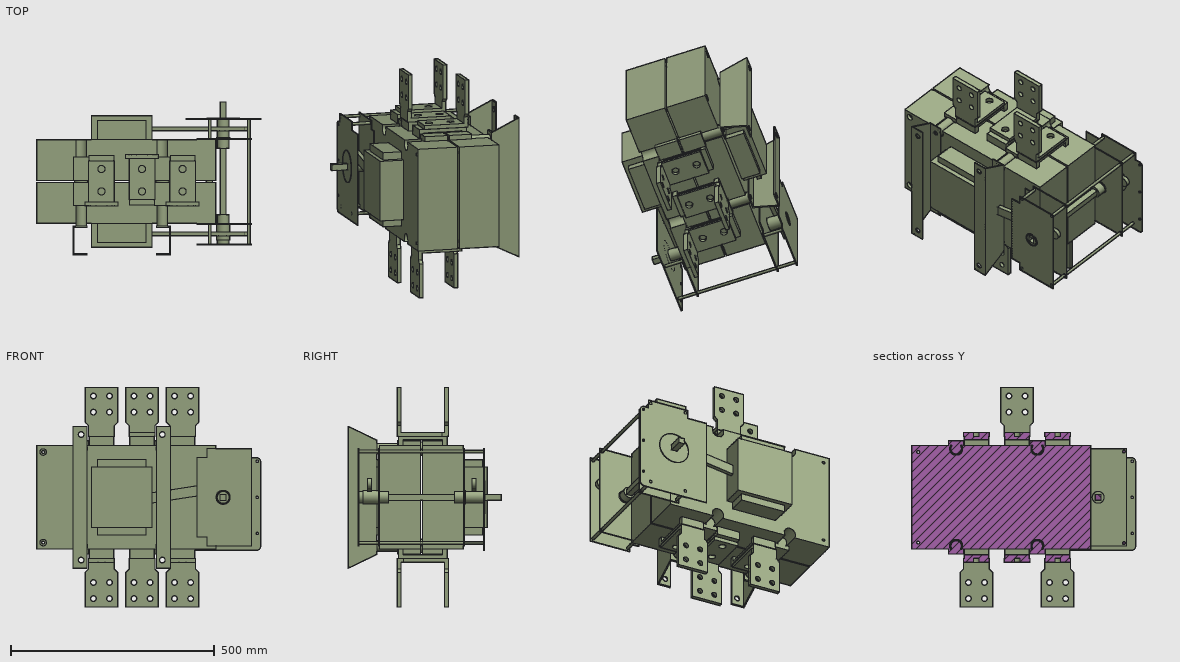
import cadquery as cq
import math


HOUSING_LENGTH = 441.0
HOUSING_HEIGHT = 255.5
HOUSING_FACE_Y = 103.0
GAP = 4.5
BOLT_INSET = 16.0
BOLT_Z = 111.5
BOLT_HEAD_DIAMETER = 16.0
BOLT_HEAD_DEPTH = 8.0
BOLT_HOLE_DIAMETER = 6.5

POLE_PITCH = 100.0
FIRST_POLE_X = 159.5
POLE_XS = [FIRST_POLE_X + i * POLE_PITCH for i in range(3)]
COIL_X = FIRST_POLE_X + POLE_PITCH / 2
POST_XS = [COIL_X - POLE_PITCH, COIL_X + POLE_PITCH]

BOX_SIDE = 149.5
BOX_DEPTH = 59.0
CORE_WIDTH = 119.0
CORE_HEIGHT = 186.0
CORE_DEPTH = 47.5

POST_DIAMETER = 26.5
POST_Z = 119.5
GROOVE_DIAMETER = 31.0
COLLAR_DIAMETER = 33.0
BLOCK_WIDTH = 38.0
BLOCK_DEPTH = 119.5
BLOCK_REAR_Y = 60.5
BLOCK_TOP_Z = 139.5

TERMINAL_Y = 3.5
TERMINAL_DEPTH = 126.5
FOOT_LENGTH = 111.0
PAD_WIDTH = 60.5
PAD_DEPTH = 121.0
PAD_TOP_Z = 150.0
PAD_THICKNESS = 9.0
PAD_LEG_DEPTH = 12.0
BAR_THICKNESS = 10.0
STEM_WIDTH = 64.0
FLAG_WIDTH = 80.5
FLAG_START_Z = 185.0
FLAG_END_Z = 270.0
FLAG_HOLE_DIAMETER = 13.0
FLAG_HOLE_X = 20.0
FLAG_HOLE_ZS = [209.5, 249.5]
FOOT_HOLE_DIAMETER = 17.5
FOOT_HOLE_Y = 27.5

CHANNEL_REAR_Y = -110.0
CHANNEL_DEPTH = 70.5
CHANNEL_FLANGE = 35.5
CHANNEL_SHEET = 3.5
CHANNEL_OUTER_X = 120.0
CHANNEL_REAR_Z = 140.5
CHANNEL_FRONT_Z = 175.0
CHANNEL_HOLE_DIAMETER = 13.0
CHANNEL_HOLE_Z = 154.5
POST_HOLE_DIAMETER = 11.0

PLATE_LEFT_X = 394.5
PLATE_RIGHT_X = 529.0
PLATE_NOTCH_X = 419.5
PLATE_HALF_HEIGHT = 119.5
PLATE_NOTCH_Z = 97.5
PLATE_SHEET = 3.0
FRONT_PLATE_Y = -156.0
REAR_PLATE_Y = 153.0
REAR_PLATE_SHEET = 2.0
BACK_LEFT_X = 368.0
BACK_RIGHT_X = 551.5
BACK_BOTTOM_Z = -130.5
BACK_CORNER_RADIUS = 10.5
BACK_HOLE_DIAMETER = 5.5
BACK_HOLE_X = 542.5
BACK_HOLE_PITCH = 89.0
DISC_DIAMETER = 80.0
DISC_THICKNESS = 1.5
ROD_DIAMETER = 7.0
ROD_Z = 112.5
SHORT_ROD_X = 426.0
LONG_ROD_X = 522.0

SHAFT_X = 459.0
SHAFT_SIDE = 15.0
SHAFT_REAR_Y = 196.5
HUB_DIAMETER = 29.0
HUB_INNER_Y = 81.5
COLLAR_END_Y = -144.0
HUB_COLLAR_DIAMETER = 33.0
REAR_COLLAR_THICKNESS = 2.0
FRONT_HOLE_DIAMETER = 35.0
SOCKET_DEPTH = 27.5
ARM_WIDTH = 25.0
ARM_THICKNESS = 10.0
ARM_END_X = 513.5
ARM_END_Z = 34.0
ARM_ANGLE = math.radians(8.8)
ARM_FRONT_Y = -133.5
ARM_REAR_Y = 124.5

HALF_HEIGHT = HOUSING_HEIGHT / 2
HALF_GAP = GAP / 2


def block(x0, x1, y0, y1, z0, z1):
    """Rectangular block between two corners."""
    return cq.Workplane("XY").box(x1 - x0, y1 - y0, z1 - z0, centered=False).translate((x0, y0, z0))


def y_profile(y0):
    """Workplane for outlines in X and Z; a negative extrusion depth goes toward +Y."""
    return cq.Workplane("XZ", origin=(0, y0, 0))


def y_cylinder(x, z, diameter, y0, y1):
    """Cylinder along Y."""
    return y_profile(y0).center(x, z).circle(diameter / 2).extrude(y0 - y1)


def centred_block(x, width, z_half, y0, y1):
    """Block centred on an X position and on Z = 0."""
    return block(x - width / 2, x + width / 2, y0, y1, -z_half, z_half)


def make_housing():
    """Two housing halves with drive boxes, bolt holes, spacers and open grooves for the posts."""
    front = block(0, HOUSING_LENGTH, -HOUSING_FACE_Y, -HALF_GAP, -HALF_HEIGHT, HALF_HEIGHT)
    housing = front.union(front.mirror("XZ"))
    box = centred_block(COIL_X, BOX_SIDE, BOX_SIDE / 2, HOUSING_FACE_Y, HOUSING_FACE_Y + BOX_DEPTH)
    core = centred_block(COIL_X, CORE_WIDTH, CORE_HEIGHT / 2, HOUSING_FACE_Y, HOUSING_FACE_Y + CORE_DEPTH)
    drive = box.union(core)
    housing = housing.union(drive).union(drive.mirror("XZ"))
    for z in (-BOLT_Z, BOLT_Z):
        spacer = y_cylinder(HOUSING_LENGTH - BOLT_INSET, z, BOLT_HEAD_DIAMETER, -HALF_GAP, HALF_GAP)
        hole = y_cylinder(BOLT_INSET, z, BOLT_HOLE_DIAMETER, -HOUSING_FACE_Y, HOUSING_FACE_Y)
        recess = y_cylinder(
            BOLT_INSET, z, BOLT_HEAD_DIAMETER, -HOUSING_FACE_Y, BOLT_HEAD_DEPTH - HOUSING_FACE_Y
        )
        housing = housing.union(spacer).cut(hole).cut(recess)
    for x in POST_XS:
        for z in (-POST_Z, POST_Z):
            groove = y_cylinder(x, z, GROOVE_DIAMETER, -HOUSING_FACE_Y, HOUSING_FACE_Y)
            housing = housing.cut(groove)
    return housing


def make_post(x):
    """Upper post with its collar in the gap and its split block."""
    rear_y = BLOCK_REAR_Y
    holder = block(
        x - BLOCK_WIDTH / 2, x + BLOCK_WIDTH / 2, rear_y - BLOCK_DEPTH, rear_y, HALF_HEIGHT, BLOCK_TOP_Z
    )
    split = block(0, HOUSING_LENGTH, -HALF_GAP, HALF_GAP, HALF_HEIGHT, BLOCK_TOP_Z)
    post = y_cylinder(x, POST_Z, POST_DIAMETER, CHANNEL_REAR_Y, rear_y)
    collar = y_cylinder(x, POST_Z, COLLAR_DIAMETER, -HALF_GAP, HALF_GAP)
    return holder.cut(split).union(post).union(collar)


def make_terminal():
    """Upper terminal on its two-legged pad, with its flag at the front, centred on X = 0."""
    front_y = -TERMINAL_DEPTH / 2
    foot_top = PAD_TOP_Z + BAR_THICKNESS
    stem = STEM_WIDTH / 2
    flag = FLAG_WIDTH / 2
    stem_end = FLAG_START_Z - (flag - stem)
    pad = block(-PAD_WIDTH / 2, PAD_WIDTH / 2, -PAD_DEPTH / 2, PAD_DEPTH / 2, HALF_HEIGHT, PAD_TOP_Z)
    inner_y = PAD_DEPTH / 2 - PAD_LEG_DEPTH
    under = block(-PAD_WIDTH / 2, PAD_WIDTH / 2, -inner_y, inner_y, HALF_HEIGHT, PAD_TOP_Z - PAD_THICKNESS)
    foot = block(-stem, stem, front_y, front_y + FOOT_LENGTH, PAD_TOP_Z, foot_top)
    foot_holes = (
        cq.Workplane("XY", origin=(0, 0, PAD_TOP_Z))
        .pushPoints([(0, -FOOT_HOLE_Y), (0, FOOT_HOLE_Y)])
        .circle(FOOT_HOLE_DIAMETER / 2)
        .extrude(BAR_THICKNESS)
    )
    outline = [
        (-stem, PAD_TOP_Z),
        (stem, PAD_TOP_Z),
        (stem, stem_end),
        (flag, FLAG_START_Z),
        (flag, FLAG_END_Z),
        (-flag, FLAG_END_Z),
        (-flag, FLAG_START_Z),
        (-stem, stem_end),
    ]
    blade = y_profile(front_y).polyline(outline).close().extrude(-BAR_THICKNESS)
    terminal = pad.cut(under).union(foot.cut(foot_holes)).union(blade)
    for x in (-FLAG_HOLE_X, FLAG_HOLE_X):
        for z in FLAG_HOLE_ZS:
            terminal = terminal.cut(y_cylinder(x, z, FLAG_HOLE_DIAMETER, front_y, front_y + BAR_THICKNESS))
    return terminal


def make_channel():
    """Left mounting channel, its sloped web on the left and its flanges pointing right."""
    web_x = COIL_X - CHANNEL_OUTER_X
    flange_x = web_x + CHANNEL_FLANGE
    front_y = CHANNEL_REAR_Y - CHANNEL_DEPTH
    side = [
        (CHANNEL_REAR_Y, -CHANNEL_REAR_Z),
        (CHANNEL_REAR_Y, CHANNEL_REAR_Z),
        (front_y, CHANNEL_FRONT_Z),
        (front_y, -CHANNEL_FRONT_Z),
    ]
    solid = cq.Workplane("YZ", origin=(web_x, 0, 0)).polyline(side).close().extrude(CHANNEL_FLANGE)
    inside = block(
        web_x + CHANNEL_SHEET,
        flange_x,
        front_y + CHANNEL_SHEET,
        CHANNEL_REAR_Y - CHANNEL_SHEET,
        -CHANNEL_FRONT_Z,
        CHANNEL_FRONT_Z,
    )
    channel = solid.cut(inside)
    for sign in (-1, 1):
        mount = y_cylinder(
            POST_XS[0], sign * CHANNEL_HOLE_Z, CHANNEL_HOLE_DIAMETER, front_y, front_y + CHANNEL_SHEET
        )
        screw = y_cylinder(
            POST_XS[0], sign * POST_Z, POST_HOLE_DIAMETER, CHANNEL_REAR_Y - CHANNEL_SHEET, CHANNEL_REAR_Y
        )
        channel = channel.cut(mount).cut(screw)
    return channel


def make_plate(front_y, sheet):
    """Mechanism plate with two notched corners on the left."""
    outline = [
        (PLATE_RIGHT_X, -PLATE_HALF_HEIGHT),
        (PLATE_RIGHT_X, PLATE_HALF_HEIGHT),
        (PLATE_NOTCH_X, PLATE_HALF_HEIGHT),
        (PLATE_NOTCH_X, PLATE_NOTCH_Z),
        (PLATE_LEFT_X, PLATE_NOTCH_Z),
        (PLATE_LEFT_X, -PLATE_NOTCH_Z),
        (PLATE_NOTCH_X, -PLATE_NOTCH_Z),
        (PLATE_NOTCH_X, -PLATE_HALF_HEIGHT),
    ]
    return y_profile(front_y).polyline(outline).close().extrude(-sheet)


def make_back_plate():
    """Rear plate: the notched shape joined to a wider sheet, with a disc around the shaft."""
    back_y = REAR_PLATE_Y + REAR_PLATE_SHEET
    sheet = block(BACK_LEFT_X, BACK_RIGHT_X, REAR_PLATE_Y, back_y, BACK_BOTTOM_Z, PLATE_NOTCH_Z)
    sheet = sheet.edges("|Y and >X").fillet(BACK_CORNER_RADIUS)
    plate = make_plate(REAR_PLATE_Y, REAR_PLATE_SHEET).union(sheet)
    for i in (-1, 0, 1):
        hole = y_cylinder(BACK_HOLE_X, i * BACK_HOLE_PITCH, BACK_HOLE_DIAMETER, REAR_PLATE_Y, back_y)
        plate = plate.cut(hole)
    return plate.union(y_cylinder(SHAFT_X, 0, DISC_DIAMETER, back_y, back_y + DISC_THICKNESS))


def make_frame():
    """Plates and rods of the mechanism; the inner plates lie on the housing faces."""
    front_plate = make_plate(FRONT_PLATE_Y, PLATE_SHEET)
    frame = front_plate.cut(
        y_cylinder(SHAFT_X, 0, FRONT_HOLE_DIAMETER, FRONT_PLATE_Y, FRONT_PLATE_Y + PLATE_SHEET)
    )
    inner_plates = make_plate(HOUSING_FACE_Y, PLATE_SHEET).union(
        make_plate(-HOUSING_FACE_Y - PLATE_SHEET, PLATE_SHEET)
    )
    frame = frame.union(inner_plates).union(make_back_plate())
    front_y = FRONT_PLATE_Y + PLATE_SHEET
    for z in (-ROD_Z, ROD_Z):
        frame = frame.union(y_cylinder(LONG_ROD_X, z, ROD_DIAMETER, front_y, REAR_PLATE_Y))
        frame = frame.union(y_cylinder(SHORT_ROD_X, z, ROD_DIAMETER, front_y, -HOUSING_FACE_Y))
        frame = frame.union(y_cylinder(SHORT_ROD_X, z, ROD_DIAMETER, HOUSING_FACE_Y, REAR_PLATE_Y))
    return frame


def make_arm(front_y):
    """Sloped arm from the drive box to its rounded end, crossing the hub."""
    start_x = COIL_X + BOX_SIDE / 2
    start_z = ARM_END_Z - (ARM_END_X - start_x) * math.tan(ARM_ANGLE)
    start_half = ARM_WIDTH / 2 / math.cos(ARM_ANGLE)
    along_x = ARM_WIDTH / 2 * math.cos(ARM_ANGLE)
    along_z = ARM_WIDTH / 2 * math.sin(ARM_ANGLE)
    return (
        y_profile(front_y)
        .moveTo(start_x, start_z - start_half)
        .lineTo(ARM_END_X + along_z, ARM_END_Z - along_x)
        .threePointArc(
            (ARM_END_X + along_x, ARM_END_Z + along_z),
            (ARM_END_X - along_z, ARM_END_Z + along_x),
        )
        .lineTo(start_x, start_z + start_half)
        .close()
        .extrude(-ARM_THICKNESS)
    )


def make_rotor():
    """Square shaft with a hub and an arm at each end; a square socket opens at the front."""
    inner_plate_y = HOUSING_FACE_Y + PLATE_SHEET
    shaft = centred_block(SHAFT_X, SHAFT_SIDE, SHAFT_SIDE / 2, -HUB_INNER_Y, SHAFT_REAR_Y)
    front_hub = y_cylinder(SHAFT_X, 0, HUB_DIAMETER, FRONT_PLATE_Y, -HUB_INNER_Y)
    front_collar = y_cylinder(SHAFT_X, 0, HUB_COLLAR_DIAMETER, COLLAR_END_Y, -inner_plate_y)
    rear_hub = y_cylinder(SHAFT_X, 0, HUB_DIAMETER, HUB_INNER_Y, REAR_PLATE_Y)
    rear_collar = y_cylinder(
        SHAFT_X, 0, HUB_COLLAR_DIAMETER, inner_plate_y, inner_plate_y + REAR_COLLAR_THICKNESS
    )
    rotor = shaft.union(front_hub).union(front_collar).union(rear_hub).union(rear_collar)
    rotor = rotor.union(make_arm(ARM_FRONT_Y)).union(make_arm(ARM_REAR_Y))
    socket = centred_block(
        SHAFT_X, SHAFT_SIDE, SHAFT_SIDE / 2, FRONT_PLATE_Y, FRONT_PLATE_Y + SOCKET_DEPTH
    )
    return rotor.cut(socket)


def make_switch(rotor):
    """Housing, terminals, channels and mechanism frame, with openings for the rotor."""
    switch = make_housing()
    for x in POST_XS:
        post = make_post(x)
        switch = switch.union(post).union(post.mirror("XY"))
    front_terminal = make_terminal()
    rear_terminal = front_terminal.mirror("XZ")
    for i, x in enumerate(POLE_XS):
        upper, lower = front_terminal, rear_terminal
        if i == 1:
            upper, lower = rear_terminal, front_terminal
        switch = switch.union(upper.translate((x, TERMINAL_Y, 0)))
        switch = switch.union(lower.mirror("XY").translate((x, TERMINAL_Y, 0)))
    channel = make_channel()
    switch = switch.union(channel).union(channel.mirror("YZ", (COIL_X, 0, 0)))
    return switch.union(make_frame()).cut(rotor)


rotor = make_rotor()
switch = make_switch(rotor)
result = cq.Compound.makeCompound([switch.val(), rotor.val()])